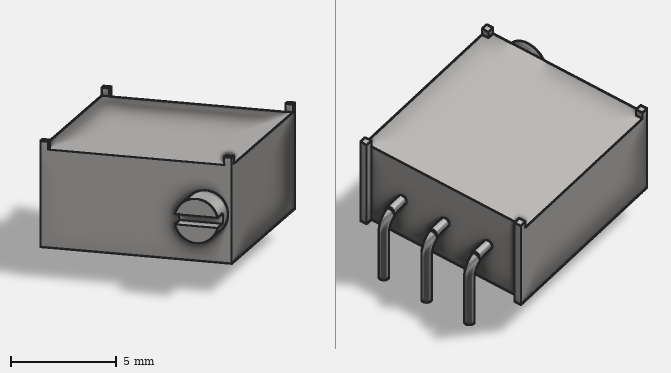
import cadquery as cq


width = 9.53
depth = 10.0
height = 5.24
foot_height = 0.39
foot_size = 0.37

screw_diameter = 2.19
screw_length = 1.55
screw_x = 3.5
axis_z = 2.43
slot_width = 0.5
slot_depth = 0.77

pin_count = 3
pin_pitch = 2.54
pin_diameter = 0.5
pin_drop = 1.55
stub_length = 0.99
bend_radius = 1.0
rear_reach = 1.35

wall_y = depth - foot_size
leg_y = depth + rear_reach - pin_diameter / 2
bend_end_z = axis_z - bend_radius


def make_housing():
    """Block with a square column at each corner; the rear pair stands proud of the wall."""
    block = cq.Workplane("XY").box(
        width, wall_y, height - foot_height, centered=(True, False, False)
    )
    column_x = (width - foot_size) / 2
    column_y = (foot_size / 2, depth - foot_size / 2)
    columns = (
        cq.Workplane("XY")
        .pushPoints([(x, y) for x in (-column_x, column_x) for y in column_y])
        .rect(foot_size, foot_size)
        .extrude(height)
    )
    return block.union(columns)


def make_screw():
    """Cylindrical screw head with a horizontal driver slot across its end."""
    head = (
        cq.Workplane("XZ")
        .center(screw_x, axis_z)
        .circle(screw_diameter / 2)
        .extrude(screw_length)
    )
    slot = (
        cq.Workplane("XZ", origin=(0, -screw_length, 0))
        .center(screw_x, axis_z)
        .rect(screw_diameter, slot_width)
        .extrude(-slot_depth)
    )
    return head.cut(slot)


def make_pin():
    """Straight stub out of the wall that overlaps a quarter bend, then a vertical leg."""
    radius = pin_diameter / 2
    stub = (
        cq.Workplane("XZ", origin=(0, wall_y, axis_z))
        .circle(radius)
        .extrude(-stub_length)
    )
    bend = (
        cq.Workplane("XY", origin=(0, leg_y, bend_end_z))
        .circle(radius)
        .revolve(90, (0, -bend_radius, 0), (1, -bend_radius, 0))
    )
    leg = (
        cq.Workplane("XY", origin=(0, leg_y, -pin_drop))
        .circle(radius)
        .extrude(pin_drop + bend_end_z)
    )
    return stub.union(bend).union(leg)


result = make_housing().union(make_screw())
pin = make_pin()
for index in range(pin_count):
    pin_x = (index - (pin_count - 1) / 2) * pin_pitch
    result = result.union(pin.translate((pin_x, 0, 0)))